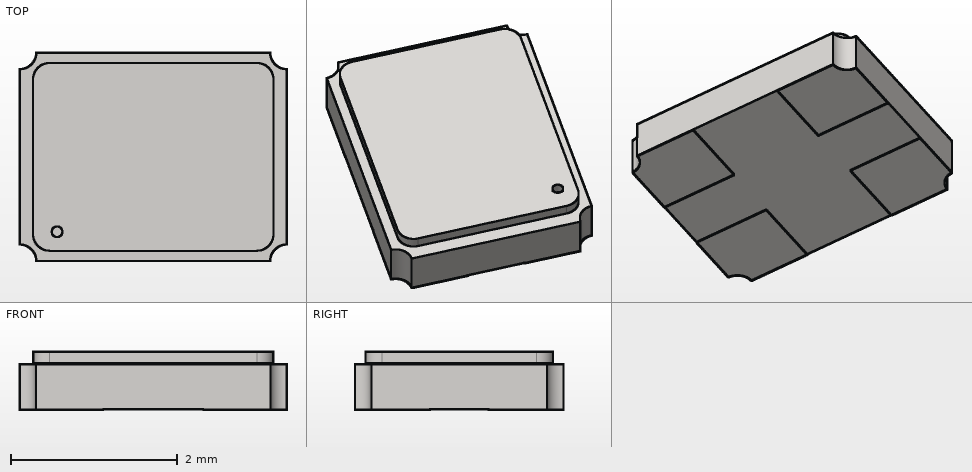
import cadquery as cq

LENGTH = 3.2
WIDTH = 2.5
NOTCH_RADIUS = 0.2

BASE_HEIGHT = 0.54

PAD_LENGTH = 1.0
PAD_WIDTH = 0.9
PAD_THICKNESS = 0.01

LID_LENGTH = 2.88
LID_WIDTH = 2.25
LID_THICKNESS = 0.14
LID_GAP = 0.01
LID_CORNER_RADIUS = 0.2

HOLE_DIAMETER = 0.128
HOLE_INSET_X = 0.288
HOLE_INSET_Y = 0.227

BASE_TOP = PAD_THICKNESS + BASE_HEIGHT
LID_BOTTOM = BASE_TOP + LID_GAP

CORNER_SIGNS = [(-1, -1), (1, -1), (1, 1), (-1, 1)]
CORNERS = [(sx * LENGTH / 2, sy * WIDTH / 2) for sx, sy in CORNER_SIGNS]


def cut_corner_notches(body):
    """Cut the round castellations that run up the package corners."""
    notches = cq.Workplane("XY").pushPoints(CORNERS).circle(NOTCH_RADIUS).extrude(BASE_TOP)
    return body.cut(notches)


def make_base():
    """Rectangular base with a round notch at each upright corner."""
    block = (
        cq.Workplane("XY")
        .workplane(offset=PAD_THICKNESS)
        .rect(LENGTH, WIDTH)
        .extrude(BASE_HEIGHT)
    )
    return cut_corner_notches(block)


def make_lid():
    """Rounded lid with a small orientation hole through it near one corner."""
    plate = (
        cq.Workplane("XY")
        .workplane(offset=LID_BOTTOM)
        .rect(LID_LENGTH, LID_WIDTH)
        .extrude(LID_THICKNESS)
        .edges("|Z")
        .fillet(LID_CORNER_RADIUS)
    )
    hole = (
        cq.Workplane("XY")
        .workplane(offset=LID_BOTTOM)
        .center(HOLE_INSET_X - LID_LENGTH / 2, HOLE_INSET_Y - LID_WIDTH / 2)
        .circle(HOLE_DIAMETER / 2)
        .extrude(LID_THICKNESS)
    )
    return plate.cut(hole)


def make_pad(sign_x, sign_y):
    """Thin terminal pad flush with the base's sides and notched at the same corner."""
    plate = (
        cq.Workplane("XY")
        .center(sign_x * (LENGTH - PAD_LENGTH) / 2, sign_y * (WIDTH - PAD_WIDTH) / 2)
        .rect(PAD_LENGTH, PAD_WIDTH)
        .extrude(PAD_THICKNESS)
    )
    return cut_corner_notches(plate)


base = make_base()
lid = make_lid()
pads = [make_pad(sign_x, sign_y) for sign_x, sign_y in CORNER_SIGNS]

result = cq.Compound.makeCompound([base.val(), lid.val(), *[pad.val() for pad in pads]])